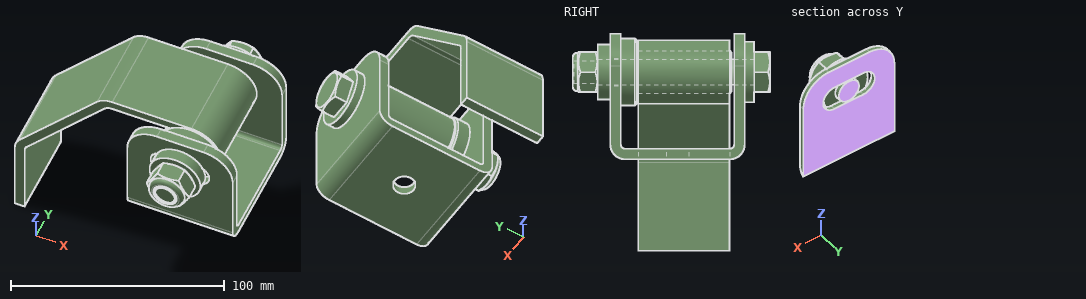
import cadquery as cq
import math


sheet = 5.0

bracket_length = 53.8
bracket_top = 18.0
bracket_height = 59.0
bracket_front = -34.5
bracket_back = 28.5
bracket_corner_radius = 15.0
bracket_inner_bend = 2.0
bracket_bottom = bracket_top - bracket_height
bracket_width = bracket_back - bracket_front
bracket_middle = (bracket_front + bracket_back) / 2
front_slot_length = 30.0
front_slot_width = 13.0
floor_hole_diameter = 10.5

arm_width = 42.8
arm_inner_bend = 5.0
eye_radius = 15.0
overall_length = 117.0
overall_height = 101.8
arm_left = bracket_length / 2 - overall_length
arm_bottom = bracket_top - overall_height
lower_corner_z = -38.7
upper_corner_x = -45.2

bush_radius = eye_radius - sheet
bush_end = 1.0
bush_taper_length = 0.7
bush_tip_radius = 8.8
bush_flange_radius = 13.9
bush_flange = 0.7

disc_radius = 15.8
disc_chamfer = 0.8
front_washer_radius = 13.0
front_washer_thickness = 5.8
back_washer_radius = 14.3
back_washer_thickness = 4.3

shank_radius = 6.1
thread_radius = 5.4
tip_chamfer = 0.5
across_flats = 19.0
across_corners = across_flats / math.cos(math.radians(30))
head_height = 7.6
nut_hex_height = 9.2
nut_collar_radius = 9.0
nut_collar_height = 2.5
nut_collar_fillet = 2.0
nut_countersink = 0.6
hex_face_radius = nut_collar_radius
hex_chamfer_angle = math.radians(30)
hex_chamfer = (across_corners / 2 - hex_face_radius) * math.tan(hex_chamfer_angle)

disc_back = -arm_width / 2 - bush_flange
disc_front = bracket_front + sheet
nut_seat = bracket_front - front_washer_thickness
nut_shoulder = nut_seat - nut_hex_height
nut_end = nut_shoulder - nut_collar_height
head_seat = bracket_back + back_washer_thickness
head_top = head_seat + head_height


def turned(profile):
    """Solid of revolution around the pivot axis from (radius, Y) points."""
    return cq.Workplane("ZY").polyline(profile).close().revolve(360, (0, 0, 0), (0, 1, 0))


def rod(radius, y_start, y_end):
    """Cylinder on the pivot axis between two Y stations."""
    return turned([(0, y_start), (radius, y_start), (radius, y_end), (0, y_end)])


def ring(outer_radius, inner_radius, y_start, y_end):
    """Flat ring on the pivot axis."""
    return rod(outer_radius, y_start, y_end).cut(rod(inner_radius, y_start, y_end))


def hexagon(y_start, y_end):
    """Hexagonal prism on the pivot axis with corners on +X and -X."""
    base = cq.Workplane("XZ", origin=(0, y_end, 0)).polygon(6, across_corners)
    return base.extrude(y_end - y_start)


def corner_relief(y_start, y_end):
    """Round envelope that trims the corners of a hexagon at both of its ends."""
    corner_radius = across_corners / 2
    return turned(
        [
            (0, y_start),
            (hex_face_radius, y_start),
            (corner_radius, y_start + hex_chamfer),
            (corner_radius, y_end - hex_chamfer),
            (hex_face_radius, y_end),
            (0, y_end),
        ]
    )


def make_bracket():
    channel = (
        cq.Workplane("XY")
        .box(bracket_length, bracket_width, bracket_height)
        .translate((0, bracket_middle, bracket_top - bracket_height / 2))
        .edges("|X and <Z")
        .fillet(bracket_inner_bend + sheet)
    )
    cavity = (
        cq.Workplane("XY")
        .box(bracket_length, bracket_width - 2 * sheet, bracket_height)
        .translate((0, bracket_middle, bracket_top - bracket_height / 2 + sheet))
        .edges("|X and <Z")
        .fillet(bracket_inner_bend)
    )
    channel = channel.cut(cavity).edges("|Y and >Z").fillet(bracket_corner_radius)
    slot = (
        cq.Workplane("XZ", origin=(0, bracket_front + sheet, 0))
        .slot2D(front_slot_length, front_slot_width)
        .extrude(sheet)
    )
    floor_hole = (
        cq.Workplane("XY", origin=(0, bracket_middle, bracket_bottom))
        .circle(floor_hole_diameter / 2)
        .extrude(sheet)
    )
    bolt_hole = rod(shank_radius, bracket_back - sheet, bracket_back)
    return channel.cut(slot).cut(floor_hole).cut(bolt_hole)


def make_arm():
    slope = math.atan2(eye_radius - lower_corner_z, upper_corner_x - arm_left)
    lower_outer = (arm_left, lower_corner_z)
    lower_inner = (arm_left + sheet, lower_corner_z - sheet * math.tan((math.pi / 2 - slope) / 2))
    upper_outer = (upper_corner_x, eye_radius)
    upper_inner = (upper_corner_x + sheet * math.tan(slope / 2), eye_radius - sheet)
    outline = [
        (arm_left, arm_bottom),
        lower_outer,
        upper_outer,
        (0, eye_radius),
        (0, eye_radius - sheet),
        upper_inner,
        lower_inner,
        (arm_left + sheet, arm_bottom),
    ]
    strip = cq.Workplane("XZ", origin=(0, arm_width / 2, 0)).polyline(outline).close().extrude(arm_width)
    bends = [
        (lower_outer, arm_inner_bend + sheet),
        (upper_outer, arm_inner_bend + sheet),
        (lower_inner, arm_inner_bend),
        (upper_inner, arm_inner_bend),
    ]
    for (x, z), radius in bends:
        strip = strip.edges(cq.selectors.NearestToPointSelector((x, 0, z))).fillet(radius)
    eye = rod(eye_radius, -arm_width / 2, arm_width / 2)
    bore = rod(bush_radius, -arm_width / 2, arm_width / 2)
    return strip.union(eye).cut(bore)


def make_bush():
    back_end = arm_width / 2 + bush_end
    sleeve = turned(
        [
            (0, disc_back),
            (bush_radius, disc_back),
            (bush_radius, back_end - bush_taper_length),
            (bush_tip_radius, back_end),
            (0, back_end),
        ]
    )
    flange = rod(bush_flange_radius, disc_back, -arm_width / 2)
    bore = rod(shank_radius, disc_back, back_end)
    return sleeve.union(flange).cut(bore)


def make_disc():
    disc = rod(disc_radius, disc_front, disc_back).faces(">Y").chamfer(disc_chamfer)
    return disc.cut(rod(shank_radius, disc_front, disc_back))


def make_bolt():
    head = hexagon(head_seat, head_top).intersect(corner_relief(head_seat - head_height, head_top))
    shank = rod(shank_radius, nut_seat, head_seat)
    thread = rod(thread_radius, nut_end, nut_seat).faces("<Y").chamfer(tip_chamfer)
    return head.union(shank).union(thread)


def make_nut():
    body = hexagon(nut_shoulder, nut_seat).intersect(corner_relief(nut_shoulder, nut_seat))
    collar = rod(nut_collar_radius, nut_end, nut_shoulder).faces("<Y").edges().fillet(nut_collar_fillet)
    bore = rod(thread_radius, nut_end, nut_seat)
    nut = body.union(collar).cut(bore)
    bore_mouth = cq.selectors.RadiusNthSelector(0)
    return nut.faces("<Y").edges(bore_mouth).chamfer(nut_countersink)


bracket = make_bracket()
arm = make_arm()
bush = make_bush()
disc = make_disc()
front_washer = ring(front_washer_radius, shank_radius, nut_seat, bracket_front)
back_washer = ring(back_washer_radius, shank_radius, bracket_back, head_seat)
bolt = make_bolt()
nut = make_nut()

result = cq.Compound.makeCompound(
    [
        bracket.val(),
        arm.val(),
        bush.val(),
        disc.val(),
        front_washer.val(),
        back_washer.val(),
        bolt.val(),
        nut.val(),
    ]
)